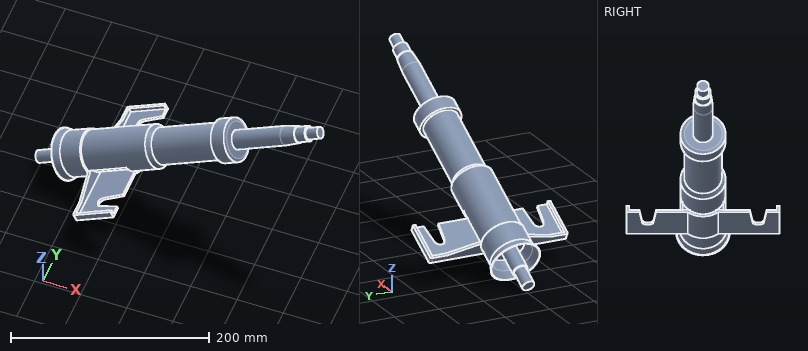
import cadquery as cq
import math

TILT = 28.2

BODY_START = 33.5
FLARE_END = 42.2
CAVITY_FLOOR = 53.0
SLEEVE_END = 66.7
SLEEVE_BEVEL = 1.0
BODY_TAPER_START = 145.7
BODY_TAPER_END = 151.0
COLLAR_START = 226.3
COLLAR_END = 242.0
FACE_RAISE = 1.0
INLET_STEP = 21.0
OUTLET_TAPER_START = 302.3
OUTLET_TAPER_END = 318.7
OUTLET_STEP = 331.0
PART_LENGTH = 345.0

RIM_D = 54.5
RIM_INNER_D = 52.7
SLEEVE_D = 48.0
BODY_D = 46.0
NECK_D = 38.5
COLLAR_D = 46.0
COLLAR_FACE_D = 38.0
CAVITY_D = 44.0
CAVITY_FLOOR_D = 37.0
INLET_TIP_D = 13.3
INLET_D = 16.5
OUTLET_D = 20.0
OUTLET_TAPER_D = 17.7
OUTLET_MIDDLE_D = 16.0
OUTLET_TIP_D = 12.0

BRACKET_START = 67.5
BRACKET_END = 113.8
BRACKET_LENGTH = BRACKET_END - BRACKET_START
BRACKET_WIDTH = 155.0
HALF_WIDTH = BRACKET_WIDTH / 2
BRACKET_BOTTOM = -20.8
PLATE_THICKNESS = 2.8
WALL_HEIGHT = 7.5
WALL_TOP = BRACKET_BOTTOM + WALL_HEIGHT
WALL_THICKNESS = 3.0
FRONT_WALL_PEAK = -4.5
FRONT_WALL_FLAT_Y = 59.0
CORNER_RADIUS = 2.0
CRADLE_R = 25.7
RELIEF_D = 41.5
CUT_MARGIN = 3.0

SLOT_Y = 55.8
SLOT_DEPTH = 27.0
SLOT_ROOT_R = 6.0
SLOT_MOUTH = 16.7


def revolve_profile(stations):
    """Solid of revolution about X from (axial position, diameter) pairs."""
    points = [(x, d / 2) for x, d in stations]
    outline = [(points[0][0], 0)] + points + [(points[-1][0], 0)]
    return cq.Workplane("XY").polyline(outline).close().revolve(360, (0, 0), (1, 0))


def make_body():
    shell = revolve_profile([
        (BODY_START, RIM_D),
        (FLARE_END, SLEEVE_D),
        (SLEEVE_END, SLEEVE_D),
        (SLEEVE_END + SLEEVE_BEVEL, BODY_D),
        (BODY_TAPER_START, BODY_D),
        (BODY_TAPER_END, NECK_D),
        (COLLAR_START, NECK_D),
        (COLLAR_START, COLLAR_D),
        (COLLAR_END, COLLAR_D),
        (COLLAR_END + FACE_RAISE, COLLAR_FACE_D),
    ])
    cavity = revolve_profile([
        (BODY_START, RIM_INNER_D),
        (FLARE_END, CAVITY_D),
        (CAVITY_FLOOR, CAVITY_FLOOR_D),
    ])
    return shell.cut(cavity)


def make_tubes():
    """Stepped inlet and outlet stubs, joined through the body."""
    return revolve_profile([
        (0, INLET_TIP_D),
        (INLET_STEP, INLET_TIP_D),
        (INLET_STEP, INLET_D),
        (CAVITY_FLOOR, INLET_D),
        (CAVITY_FLOOR, OUTLET_D),
        (OUTLET_TAPER_START, OUTLET_D),
        (OUTLET_TAPER_END, OUTLET_TAPER_D),
        (OUTLET_TAPER_END, OUTLET_MIDDLE_D),
        (OUTLET_STEP, OUTLET_MIDDLE_D),
        (OUTLET_STEP, OUTLET_TIP_D),
        (PART_LENGTH, OUTLET_TIP_D),
    ])


def bracket_block(length, width, bottom, height, y=0.0):
    """Box starting at the front of the bracket, centred on the given Y."""
    return (
        cq.Workplane("XY")
        .box(length, width, height, centered=(False, True, False))
        .translate((BRACKET_START, y, bottom))
    )


def make_front_wall():
    outline = [
        (-HALF_WIDTH, BRACKET_BOTTOM),
        (HALF_WIDTH, BRACKET_BOTTOM),
        (HALF_WIDTH, WALL_TOP),
        (FRONT_WALL_FLAT_Y, WALL_TOP),
        (BODY_D / 2, FRONT_WALL_PEAK),
        (-BODY_D / 2, FRONT_WALL_PEAK),
        (-FRONT_WALL_FLAT_Y, WALL_TOP),
        (-HALF_WIDTH, WALL_TOP),
    ]
    return (
        cq.Workplane("YZ", origin=(BRACKET_START, 0, 0))
        .polyline(outline).close().extrude(WALL_THICKNESS)
    )


def make_cradle():
    """Round-bottomed saddle below the top face of the plate."""
    saddle = (
        cq.Workplane("YZ", origin=(BRACKET_START, 0, 0))
        .circle(CRADLE_R).extrude(BRACKET_LENGTH)
    )
    saddle_height = CRADLE_R + BRACKET_BOTTOM + PLATE_THICKNESS
    return saddle.intersect(bracket_block(BRACKET_LENGTH, 2 * CRADLE_R, -CRADLE_R, saddle_height))


def make_relief():
    """Shallow relief around the lower half of the body, above the bracket plate."""
    ring = (
        cq.Workplane("YZ", origin=(BRACKET_START, 0, 0))
        .circle(BODY_D / 2 + CUT_MARGIN).circle(RELIEF_D / 2).extrude(BRACKET_LENGTH)
    )
    lower_part = bracket_block(BRACKET_LENGTH, BRACKET_WIDTH, -BODY_D, BODY_D + FRONT_WALL_PEAK)
    return ring.intersect(lower_part)


def make_slot(y):
    """Slot with straight flanks tangent to a round root."""
    center_x = BRACKET_END - SLOT_DEPTH + SLOT_ROOT_R
    run = BRACKET_END - center_x
    half_mouth = SLOT_MOUTH / 2
    mouth_distance = math.hypot(run, half_mouth)
    flank_angle = math.atan2(half_mouth, run) + math.acos(SLOT_ROOT_R / mouth_distance)
    tangent_x = center_x + SLOT_ROOT_R * math.cos(flank_angle)
    tangent_y = SLOT_ROOT_R * math.sin(flank_angle)
    return (
        cq.Workplane("XY", origin=(0, y, BRACKET_BOTTOM - CUT_MARGIN))
        .moveTo(BRACKET_END, -half_mouth)
        .lineTo(tangent_x, -tangent_y)
        .threePointArc((center_x - SLOT_ROOT_R, 0), (tangent_x, tangent_y))
        .lineTo(BRACKET_END, half_mouth)
        .close()
        .extrude(PLATE_THICKNESS + 2 * CUT_MARGIN)
    )


def make_bracket():
    bracket = bracket_block(BRACKET_LENGTH, BRACKET_WIDTH, BRACKET_BOTTOM, PLATE_THICKNESS)
    bracket = bracket.union(make_front_wall())
    for side in (-1, 1):
        wall_y = side * (HALF_WIDTH - WALL_THICKNESS / 2)
        end_wall = bracket_block(BRACKET_LENGTH, WALL_THICKNESS, BRACKET_BOTTOM, WALL_HEIGHT, wall_y)
        bracket = bracket.union(end_wall).cut(make_slot(side * SLOT_Y))
    front_corners = cq.selectors.BoxSelector(
        (BRACKET_START - CUT_MARGIN / 2, -BRACKET_WIDTH, -CRADLE_R),
        (BRACKET_START + CUT_MARGIN / 2, BRACKET_WIDTH, 0),
    )
    bracket = bracket.edges("|Z").edges(front_corners).fillet(CORNER_RADIUS)
    return bracket.union(make_cradle())


result = (
    make_body()
    .cut(make_relief())
    .union(make_tubes())
    .union(make_bracket())
    .rotate((0, 0, 0), (0, 1, 0), -TILT)
)